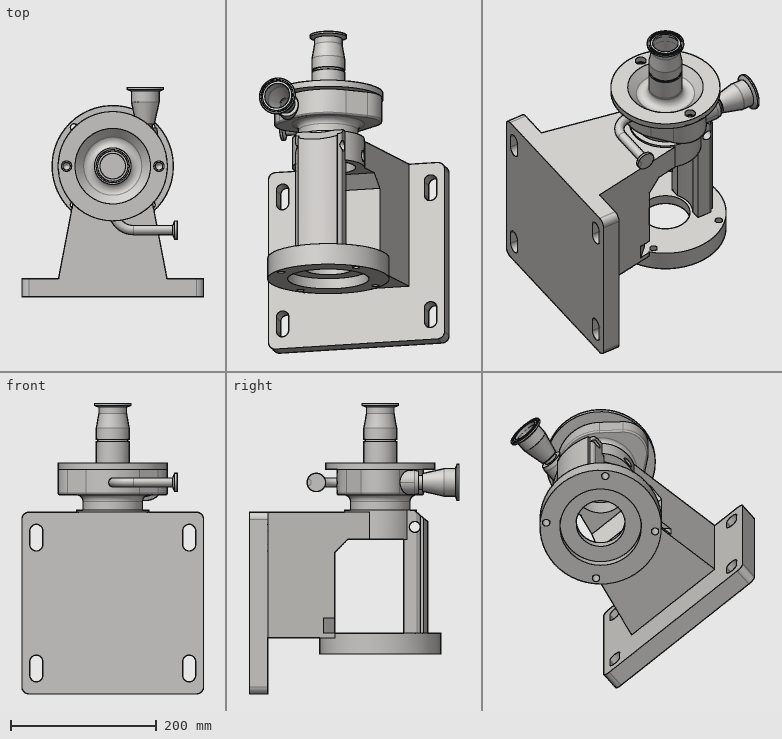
import cadquery as cq
import math


total_height = 399.5
back_y = -180.0
outlet_end_y = 108.3

plate_size = 250.0
plate_thickness = 25.0
plate_corner_radius = 10.0
slot_offset_x = 105.0
slot_offset_z = 90.0
slot_width = 17.5
slot_length = 36.5
plate_front_y = back_y + plate_thickness

collar_radius = 49.5
collar_height = 40.5
collar_top_z = 253.0
collar_bottom_z = collar_top_z - collar_height
lantern_bore_radius = 37.5
cross_hole_diameter = 14.8
collar_hole_z = 225.8

web_half_width_plate = 74.7
web_half_width_collar = 48.0
web_start_y = -14.8
web_bottom_z = 77.0
web_gusset_start_y = -44.8
web_edge_y = -62.5
web_gusset_drop = 18.0

ring_radius = 83.5
ring_thickness = 29.0
ring_top_z = 84.0
ring_bottom_z = ring_top_z - ring_thickness
ring_bore_radius = 33.5
ring_bore_depth = 14.8
ring_register_radius = 56.0
ring_bolt_circle_radius = 75.0
ring_bolt_diameter = 10.0

notch_height = 20.8
notch_depth_y = 16.0
notch_depth_x = 12.8

pillar_half_width = 33.0
pillar_inner_y = 32.0
pillar_outer_radius = 65.5
pillar_rib_half_width = 27.5
pillar_shoulder_y = 55.5
pillar_edge_fillet = 5.0
pillar_chamfer_y = 19.0
pillar_chamfer_z = 16.0
pillar_hole_y = 47.5
pillar_hole_z = 229.8

flange_radius = 75.0
flange_top_z = 317.5
flange_thickness = 8.8
flange_bottom_z = flange_top_z - flange_thickness
body_height = 35.0
body_bottom_z = flange_bottom_z - body_height
body_radius = 59.5
lug_radius = 34.0
body_edge_fillet = 2.5
neck_radius = 41.0
neck_fillet = 8.8
bowl_outer_radius = 52.0
bowl_inner_radius = 40.0
bowl_cone_depth = 12.0
bowl_hollow_radius = 11.0
flange_hole_x = 63.5
flange_hole_radius = 7.0
flange_tap_radius = 5.0
flange_tap_depth = 12.0

ferrule_radius = 25.0
ferrule_thickness = 2.8
ferrule_cone_length = 2.5
gasket_groove_inner = 20.8
gasket_groove_outer = 22.8
gasket_groove_depth = 0.8
pipe_radius = 19.0
pipe_bore_radius = 17.5
port_z = 291.0

inlet_radius = 22.8
inlet_cone_start = 14.0
inlet_cone_end = 34.0
weld_groove_start = 49.5
weld_groove_end = 52.7
weld_groove_depth = 2.0

outlet_x = 44.8
outlet_cone_start = 20.5
outlet_cone_end = 50.5
outlet_root_radius = 12.5
outlet_root_bore = 8.0
outlet_weld_neck_radius = 9.5
outlet_boss_start = 55.5
outlet_boss_radius = 15.5
outlet_boss_taper_end = 61.5
outlet_boss_root_radius = 16.8
outlet_length = 84.0

tube_radius = 6.5
tube_bore_radius = 4.8
tube_y = -88.0
tube_bend_end_x = 28.5
tube_bend_radius = 27.5
tube_end_x = 88.7
tube_lead_in = 12.0
drain_ferrule_radius = 12.8
drain_ferrule_thickness = 3.5
drain_ferrule_cone = 2.8


def cylinder(radius, bottom_z, top_z):
    """Cylinder on the pump axis between two heights."""
    return cq.Workplane("XY", origin=(0, 0, bottom_z)).circle(radius).extrude(top_z - bottom_z)


def turned(profile):
    """Solid turned about Z from (radius, z) points; the profile closes on the axis."""
    return cq.Workplane("XZ").polyline(profile).close().revolve(360, (0, 0), (0, 1))


def make_plate():
    """Wall plate with rounded corners and four upright slots."""
    center_z = plate_size / 2
    plate = (
        cq.Workplane("XZ", origin=(0, plate_front_y, center_z))
        .rect(plate_size, plate_size)
        .extrude(plate_thickness)
        .edges("|Y")
        .fillet(plate_corner_radius)
    )
    slots = (
        cq.Workplane("XZ", origin=(0, plate_front_y, center_z))
        .rect(2 * slot_offset_x, 2 * slot_offset_z, forConstruction=True)
        .vertices()
        .slot2D(slot_length, slot_width, 90)
        .extrude(plate_thickness)
    )
    return plate.cut(slots)


def make_web():
    """Tapered web: side outline trimmed by the plan outline, with clearance at the low corners."""
    side = (
        cq.Workplane("YZ")
        .polyline([
            (plate_front_y, web_bottom_z),
            (web_edge_y, web_bottom_z),
            (web_edge_y, collar_bottom_z - web_gusset_drop),
            (web_gusset_start_y, collar_bottom_z),
            (web_start_y, collar_bottom_z),
            (web_start_y, plate_size),
            (plate_front_y, plate_size),
        ])
        .close()
        .extrude(web_half_width_plate, both=True)
    )
    plan = (
        cq.Workplane("XY")
        .polyline([
            (-web_half_width_plate, plate_front_y),
            (web_half_width_plate, plate_front_y),
            (web_half_width_collar, web_start_y),
            (-web_half_width_collar, web_start_y),
        ])
        .close()
        .extrude(plate_size)
    )
    web = side.intersect(plan)

    taper = (web_half_width_plate - web_half_width_collar) / (web_start_y - plate_front_y)
    corner_x = web_half_width_collar + taper * (web_start_y - web_edge_y)
    notch_end_y = web_edge_y - notch_depth_y
    notch_end_x = corner_x + taper * notch_depth_y
    for side_sign in (-1, 1):
        notch = (
            cq.Workplane("XY", origin=(0, 0, ring_top_z))
            .polyline([
                (side_sign * (corner_x - notch_depth_x), web_edge_y),
                (side_sign * notch_end_x, web_edge_y),
                (side_sign * notch_end_x, notch_end_y),
            ])
            .close()
            .extrude(notch_height)
        )
        web = web.cut(notch)
    return web


def cut_motor_ring_holes(part):
    """Stepped bore, wider below as a register for the motor, and four bolt holes."""
    part = part.cut(cylinder(ring_bore_radius, ring_bottom_z, ring_top_z))
    part = part.cut(cylinder(ring_register_radius, ring_bottom_z, ring_top_z - ring_bore_depth))
    bolts = (
        cq.Workplane("XY", origin=(0, 0, ring_bottom_z))
        .polarArray(ring_bolt_circle_radius, 45, 360, 4)
        .circle(ring_bolt_diameter / 2)
        .extrude(ring_top_z - ring_bottom_z)
    )
    return part.cut(bolts)


def make_pillar():
    """Post with filleted shoulders and a raised rib of round outer face."""
    rib_edge_y = math.sqrt(pillar_outer_radius**2 - pillar_rib_half_width**2)
    height = collar_top_z - ring_top_z
    base = cq.Workplane("XY", origin=(0, 0, ring_top_z))
    post = (
        base.moveTo(-pillar_half_width, pillar_inner_y)
        .lineTo(pillar_half_width, pillar_inner_y)
        .lineTo(pillar_half_width, pillar_shoulder_y)
        .lineTo(-pillar_half_width, pillar_shoulder_y)
        .close()
        .extrude(height)
        .edges("|Z")
        .edges(">Y")
        .fillet(pillar_edge_fillet)
    )
    rib = (
        base.moveTo(-pillar_rib_half_width, pillar_inner_y)
        .lineTo(pillar_rib_half_width, pillar_inner_y)
        .lineTo(pillar_rib_half_width, rib_edge_y)
        .threePointArc((0, pillar_outer_radius), (-pillar_rib_half_width, rib_edge_y))
        .close()
        .extrude(height)
    )
    chamfer = (
        cq.Workplane("YZ")
        .polyline([
            (pillar_outer_radius, collar_top_z - pillar_chamfer_z),
            (pillar_outer_radius, collar_top_z),
            (pillar_outer_radius - pillar_chamfer_y, collar_top_z),
        ])
        .close()
        .extrude(pillar_half_width, both=True)
    )
    return post.union(rib).cut(chamfer)


def make_frame():
    """Plate, web, motor ring, pillar and collar with their common bore."""
    frame = (
        cylinder(collar_radius, collar_bottom_z, collar_top_z)
        .union(make_web())
        .union(make_pillar())
        .cut(cylinder(lantern_bore_radius, ring_top_z, collar_top_z))
        .union(make_plate())
        .union(cylinder(ring_radius, ring_bottom_z, ring_top_z))
    )
    cross_hole = (
        cq.Workplane("YZ", origin=(0, pillar_hole_y, pillar_hole_z))
        .circle(cross_hole_diameter / 2)
        .extrude(pillar_half_width, both=True)
    )
    side_hole = (
        cq.Workplane("YZ", origin=(-collar_radius, 0, collar_hole_z))
        .circle(cross_hole_diameter / 2)
        .extrude(collar_radius)
    )
    return cut_motor_ring_holes(frame).cut(cross_hole).cut(side_hole)


def make_body():
    """Round body blended into two side lugs by straight tangent walls, with a necked foot."""
    lug_x = flange_radius - lug_radius
    tangent_angle = math.acos((body_radius - lug_radius) / lug_x)
    cos_t = math.cos(tangent_angle)
    sin_t = math.sin(tangent_angle)
    body_x = body_radius * cos_t
    body_y = body_radius * sin_t
    lug_edge_x = lug_x + lug_radius * cos_t
    lug_edge_y = lug_radius * sin_t
    body = (
        cq.Workplane("XY", origin=(0, 0, body_bottom_z))
        .moveTo(-body_x, body_y)
        .threePointArc((0, body_radius), (body_x, body_y))
        .lineTo(lug_edge_x, lug_edge_y)
        .threePointArc((flange_radius, 0), (lug_edge_x, -lug_edge_y))
        .lineTo(body_x, -body_y)
        .threePointArc((0, -body_radius), (-body_x, -body_y))
        .lineTo(-lug_edge_x, -lug_edge_y)
        .threePointArc((-flange_radius, 0), (-lug_edge_x, lug_edge_y))
        .close()
        .extrude(flange_bottom_z - body_bottom_z)
        .faces("<Z")
        .edges()
        .fillet(body_edge_fillet)
    )
    bend = neck_fillet * (1 - math.sqrt(0.5))
    neck = (
        cq.Workplane("XZ")
        .moveTo(0, collar_top_z)
        .lineTo(neck_radius, collar_top_z)
        .lineTo(neck_radius, body_bottom_z - neck_fillet)
        .threePointArc(
            (neck_radius + bend, body_bottom_z - bend),
            (neck_radius + neck_fillet, body_bottom_z),
        )
        .lineTo(0, body_bottom_z)
        .close()
        .revolve(360, (0, 0), (0, 1))
    )
    flange = cylinder(flange_radius, flange_bottom_z, flange_top_z)
    return body.union(neck).union(flange).cut(make_bowl()).cut(make_flange_holes())


def make_bowl():
    """Recess in the flange: a cone, then a round hollow rising to the inlet pipe."""
    cone_end_z = flange_top_z - bowl_cone_depth
    hollow_x = inlet_radius + bowl_hollow_radius
    hollow_z = cone_end_z + math.sqrt(bowl_hollow_radius**2 - (bowl_inner_radius - hollow_x) ** 2)
    bend = bowl_hollow_radius * math.sqrt(0.5)
    return (
        cq.Workplane("XZ")
        .moveTo(inlet_radius, flange_top_z)
        .lineTo(bowl_outer_radius, flange_top_z)
        .lineTo(bowl_inner_radius, cone_end_z)
        .threePointArc((hollow_x - bend, hollow_z - bend), (inlet_radius, hollow_z))
        .close()
        .revolve(360, (0, 0), (0, 1))
    )


def make_flange_holes():
    """Two blind stepped holes with a pointed end."""
    tap_end_z = flange_bottom_z - flange_tap_depth
    hole = turned([
        (0, flange_top_z),
        (flange_hole_radius, flange_top_z),
        (flange_hole_radius, flange_bottom_z),
        (flange_tap_radius, flange_bottom_z),
        (flange_tap_radius, tap_end_z),
        (0, tap_end_z - flange_tap_radius),
    ])
    return hole.translate((flange_hole_x, 0, 0)).union(hole.translate((-flange_hole_x, 0, 0)))


def ferrule_profile(rim, pipe, thickness, cone_length):
    """Profile points of a clamp ferrule, face at z = 0 and pipe running to -z."""
    return [(0, 0), (rim, 0), (rim, -thickness), (pipe, -thickness - cone_length)]


def large_ferrule_profile():
    """Inlet and outlet ferrule, with a gasket groove in its face."""
    center, *outside = ferrule_profile(ferrule_radius, pipe_radius, ferrule_thickness, ferrule_cone_length)
    groove = [
        (gasket_groove_inner, 0),
        (gasket_groove_inner, -gasket_groove_depth),
        (gasket_groove_outer, -gasket_groove_depth),
        (gasket_groove_outer, 0),
    ]
    return [center] + groove + outside


def make_inlet():
    """Inlet pipe on the pump axis, widening below its ferrule, with a weld groove."""
    groove_radius = inlet_radius - weld_groove_depth
    root = flange_top_z - bowl_cone_depth - total_height
    pipe = turned(
        large_ferrule_profile()
        + [
            (pipe_radius, -inlet_cone_start),
            (inlet_radius, -inlet_cone_end),
            (inlet_radius, -weld_groove_start),
            (groove_radius, -weld_groove_start),
            (groove_radius, -weld_groove_end),
            (inlet_radius, -weld_groove_end),
            (inlet_radius, root),
            (0, root),
        ]
    )
    return pipe.translate((0, 0, total_height))


def make_outlet():
    """Outlet reducer with the boss it is welded to, and its bore, both pointing along +Y."""
    outside = turned(
        large_ferrule_profile()
        + [
            (pipe_radius, -outlet_cone_start),
            (outlet_root_radius, -outlet_cone_end),
            (outlet_weld_neck_radius, -outlet_cone_end),
            (outlet_weld_neck_radius, -outlet_boss_start),
            (outlet_boss_radius, -outlet_boss_start),
            (outlet_boss_root_radius, -outlet_boss_taper_end),
            (outlet_boss_root_radius, -outlet_length),
            (0, -outlet_length),
        ]
    )
    bore = turned([
        (0, 0),
        (pipe_bore_radius, 0),
        (pipe_bore_radius, -outlet_cone_start),
        (outlet_root_bore, -outlet_cone_end),
        (outlet_root_bore, -outlet_length),
        (0, -outlet_length),
    ])

    def place(solid):
        return solid.rotate((0, 0, 0), (1, 0, 0), -90).translate((outlet_x, outlet_end_y, port_z))

    return place(outside), place(bore)


def make_drain():
    """Drain tube with a quarter bend, its clamp ferrule, and its bore."""
    bend_start_x = tube_bend_end_x - tube_bend_radius
    bend_start_y = tube_y + tube_bend_radius
    bend = tube_bend_radius * math.sqrt(0.5)
    bend_middle = (tube_bend_end_x - bend, bend_start_y - bend)
    path = (
        cq.Workplane("XY", origin=(0, 0, port_z))
        .moveTo(tube_end_x, tube_y)
        .lineTo(tube_bend_end_x, tube_y)
        .threePointArc(bend_middle, (bend_start_x, bend_start_y))
        .lineTo(bend_start_x, bend_start_y + tube_lead_in)
    )

    def sweep_round(radius):
        return cq.Workplane("YZ", origin=(tube_end_x, tube_y, port_z)).circle(radius).sweep(path)

    ferrule = turned(
        ferrule_profile(drain_ferrule_radius, tube_radius, drain_ferrule_thickness, drain_ferrule_cone)
        + [(0, -drain_ferrule_thickness - drain_ferrule_cone)]
    )
    ferrule = ferrule.rotate((0, 0, 0), (0, 1, 0), 90).translate((tube_end_x, tube_y, port_z))
    return sweep_round(tube_radius).union(ferrule), sweep_round(tube_bore_radius)


outlet, outlet_bore = make_outlet()
drain, drain_bore = make_drain()
inlet_bore = cylinder(pipe_bore_radius, port_z, total_height)

result = (
    make_frame()
    .union(make_body())
    .union(make_inlet())
    .union(outlet)
    .union(drain)
    .cut(inlet_bore)
    .cut(outlet_bore)
    .cut(drain_bore)
)